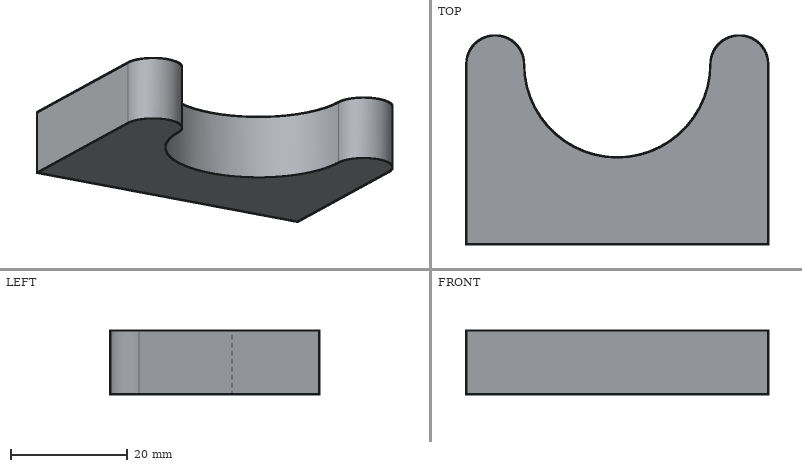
import cadquery as cq

saddle_radius = 16.0
arm_width = 10.0
floor_thickness = 15.0
plate_thickness = 11.0

tip_radius = arm_width / 2
half_width = saddle_radius + arm_width
back_y = -(saddle_radius + floor_thickness)
tip_center_x = saddle_radius + tip_radius


def saddle_block():
    """Flat block with a half-round seat between two round-tipped arms."""
    return (
        cq.Workplane("XY")
        .moveTo(-half_width, back_y)
        .lineTo(half_width, back_y)
        .lineTo(half_width, 0)
        .threePointArc((tip_center_x, tip_radius), (saddle_radius, 0))
        .threePointArc((0, -saddle_radius), (-saddle_radius, 0))
        .threePointArc((-tip_center_x, tip_radius), (-half_width, 0))
        .close()
        .extrude(plate_thickness)
    )


result = saddle_block()